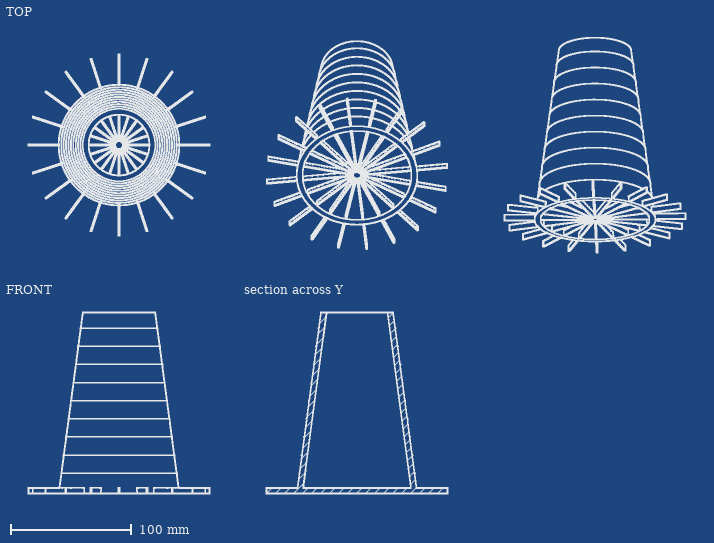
import cadquery as cq

height = 150.0
base_diameter = 100.0
top_diameter = 60.0
wall = 5.0

band_count = 9
band_height = 2.0
band_spacing = height / (band_count + 1)

fin_span = 150.0
fin_pair_count = 10
fin_thickness = 1.0
fin_height = 5.0


def body_radius(z):
    """Outer radius of the tapered body at height z."""
    return (base_diameter + (top_diameter - base_diameter) * z / height) / 2


def frustum(inset):
    """Full-height cone frustum whose radius is the body radius less the inset."""
    profile = [
        (0, 0),
        (body_radius(0) - inset, 0),
        (body_radius(height) - inset, height),
        (0, height),
    ]
    return cq.Workplane("XZ").polyline(profile).close().revolve(360, (0, 0), (0, 1))


def band(z):
    """Straight band, flush with the body at its lower edge and proud at its upper edge."""
    return cq.Workplane("XY").workplane(offset=z).circle(body_radius(z)).extrude(band_height)


def fin_pair(angle):
    """Two opposite fins, made as one bar across the axis."""
    bar = cq.Workplane("XY").rect(fin_span, fin_thickness).extrude(fin_height)
    return bar.rotate((0, 0, 0), (0, 0, 1), angle)


result = frustum(0)
for level in range(1, band_count + 1):
    result = result.union(band(level * band_spacing))
result = result.cut(frustum(wall))

for index in range(fin_pair_count):
    result = result.union(fin_pair(index * 180 / fin_pair_count))